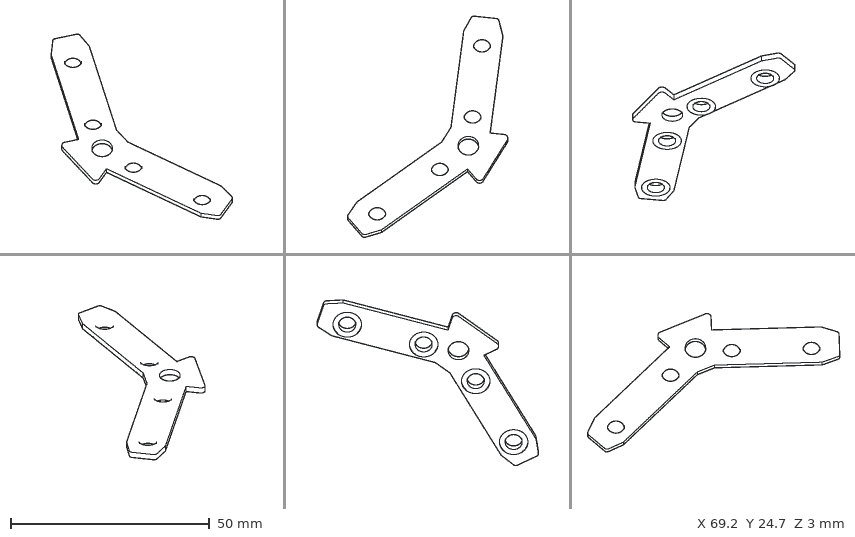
import cadquery as cq
import math

plate_thickness = 1.6
arm_angle = 22.5
arm_half_width = 5.0
arm_end = 36.2
taper_length = 4.5
taper_angle = 20
tip_radius = 0.8
crotch_y = 6.35
tail_y = -7.75
tail_side = 4.2
tail_radius = 1.05
center_hole_diameter = 5.2

first_hole = 9.1
hole_spacing = 20.0
hole_radius = 2.15
funnel_radius = 1.45
boss_radius = 3.6
boss_height = 1.4
boss_flare_radius = 1.05

cos_arm = math.cos(math.radians(arm_angle))
sin_arm = math.sin(math.radians(arm_angle))


def on_arm(along, across):
    """XY point of the right arm, given along and across its centre line."""
    return (along * cos_arm - across * sin_arm, along * sin_arm + across * cos_arm)


def mirrored(point):
    return (-point[0], point[1])


def make_plate():
    tip_half_width = arm_half_width - taper_length * math.tan(math.radians(taper_angle))
    taper_start = arm_end - taper_length
    crotch_x = (crotch_y * cos_arm - arm_half_width) / sin_arm
    tail_x = (tail_side - tail_y * sin_arm) / cos_arm

    tail_corner = (tail_x, tail_y)
    tip_corners = [on_arm(arm_end, -tip_half_width), on_arm(arm_end, tip_half_width)]
    right_side = [
        tail_corner,
        on_arm(tail_side, -arm_half_width),
        on_arm(taper_start, -arm_half_width),
        *tip_corners,
        on_arm(taper_start, arm_half_width),
        (crotch_x, crotch_y),
    ]
    left_side = [mirrored(point) for point in reversed(right_side)]
    plate = cq.Workplane("XY").polyline(right_side + left_side).close().extrude(plate_thickness)

    def round_corners(body, corners, radius):
        for x, y in corners + [mirrored(corner) for corner in corners]:
            nearest = cq.selectors.NearestToPointSelector((x, y, plate_thickness / 2))
            body = body.edges("|Z").edges(nearest).fillet(radius)
        return body

    plate = round_corners(plate, tip_corners, tip_radius)
    plate = round_corners(plate, [tail_corner], tail_radius)
    return plate.cut(cq.Workplane("XY").circle(center_hole_diameter / 2).extrude(plate_thickness))


def make_boss():
    """Boss below the plate: a straight foot and a concave flare above it."""
    return (
        cq.Workplane("XZ")
        .moveTo(0, -boss_height)
        .lineTo(boss_radius, -boss_height)
        .lineTo(boss_radius, -boss_flare_radius)
        .radiusArc((boss_radius + boss_flare_radius, 0), boss_flare_radius)
        .lineTo(0, 0)
        .close()
        .revolve(360, (0, 0), (0, 1))
    )


def make_funnel():
    """Hole whose wall rounds smoothly out into the top face."""
    return (
        cq.Workplane("XZ")
        .moveTo(0, -boss_height)
        .lineTo(hole_radius, -boss_height)
        .lineTo(hole_radius, plate_thickness - funnel_radius)
        .radiusArc((hole_radius + funnel_radius, plate_thickness), funnel_radius)
        .lineTo(0, plate_thickness)
        .close()
        .revolve(360, (0, 0), (0, 1))
    )


result = make_plate()
boss = make_boss()
funnel = make_funnel()
for distance in (first_hole, first_hole + hole_spacing):
    right_center = on_arm(distance, 0)
    for x, y in (right_center, mirrored(right_center)):
        result = result.union(boss.translate((x, y, 0)))
        result = result.cut(funnel.translate((x, y, 0)))